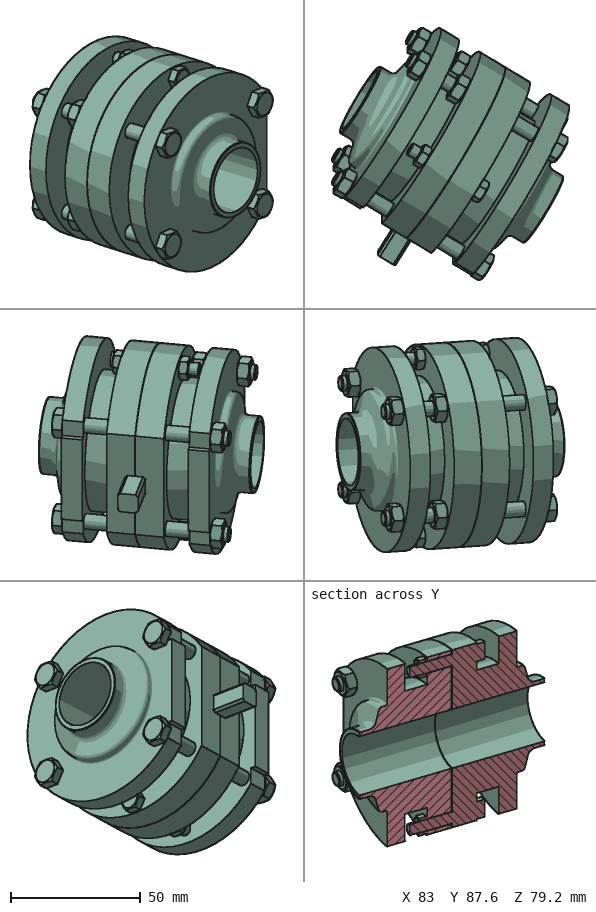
import cadquery as cq
import math


BORE_DIAMETER = 26.0
NECK_DIAMETER = 30.0
NECK_END_CHAMFER = 0.2
NECK_END_CHAMFER_LENGTH = 0.35
NECK_FILLET = 3.0
VALVE_LENGTH = 83.0
NECK_CYLINDER_LENGTH = 4.5

HUB_CONE_ANGLE = math.radians(15)
HUB_DIAMETER = 47.0
HUB_CORNER_RADIUS = 1.8
HUB_FOOT_FILLET = 0.9

FLANGE_DIAMETER = 79.2
FLAT_Y = 33.2
BODY_DIAMETER = 55.0
END_FLANGE_OUTER_X = 29.0
END_FLANGE_INNER_X = 20.85
CENTER_FLANGE_X = 11.2
JOINT_GAP = 0.2
END_FLANGE_STEP_Y = 31.1
END_FLANGE_PAD_WIDTH = 35.6

ROD_DIAMETER = 6.0
ROD_Y = 27.2
ROD_Z = 21.0
ROD_END_X = -36.0
ROD_END_CHAMFER = 0.5
ROD_HEX_WIDTH = 10.0
ROD_NUT_HEIGHT = 5.0
ROD_HEAD_HEIGHT = 4.0

BOLT_DIAMETER = 5.0
BOLT_Z = 35.0
BOLT_END_X = -19.0
BOLT_END_CHAMFER = 0.35
BOLT_HEX_WIDTH = 8.0
BOLT_NUT_HEIGHT = 3.8
BOLT_HEAD_HEIGHT = 3.5

HEX_FACE_RATIO = 0.92
HEX_CHAMFER_ANGLE = math.radians(30)

STEM_WIDTH = 8.0
STEM_CORNER_DIAMETER = 10.0
STEM_TIP_Y = 48.0
STEM_SEAT_DEPTH = 7.0

ROD_PLACES = [(y, z) for y in (-ROD_Y, ROD_Y) for z in (-ROD_Z, ROD_Z)]
LOCKNUT_PLACES = [(y, z) for y, z in ROD_PLACES if y < 0]
BOLT_PLACES = [(0, -BOLT_Z), (0, BOLT_Z)]


def disc_x(diameter, start_x, end_x, y=0, z=0):
    """Cylinder along X between two X positions."""
    return (
        cq.Workplane("YZ", origin=(start_x, y, z))
        .circle(diameter / 2)
        .extrude(end_x - start_x)
    )


def rod_x(diameter, tip_x, end_x, chamfer, y, z):
    """Cylinder along X with a chamfered tip on its -X end."""
    return disc_x(diameter, tip_x, end_x, y, z).faces("<X").chamfer(chamfer)


def trim_to_y(shape, limit_y):
    """Remove everything of the shape beyond a plane Y = limit_y."""
    size = 2 * FLANGE_DIAMETER
    waste = cq.Workplane("XY").box(size, size, size).translate((0, limit_y + size / 2, 0))
    return shape.cut(waste)


def hexagon(width, start_x, height, y, z, chamfered_ends):
    """Hexagon along X, corners toward +-Y, with turned chamfers on the chosen ends."""
    corner_diameter = width / math.cos(math.pi / 6)
    prism = (
        cq.Workplane("YZ", origin=(start_x, y, z))
        .polygon(6, corner_diameter)
        .extrude(height)
    )
    radial = (corner_diameter - HEX_FACE_RATIO * width) / 2
    axial = radial * math.tan(HEX_CHAMFER_ANGLE)
    envelope = disc_x(corner_diameter, start_x, start_x + height, y, z)
    for end in chamfered_ends:
        outward = 1 if end == ">X" else -1
        face_x = start_x + height if outward > 0 else start_x
        half = corner_diameter / 2
        ring = (
            cq.Workplane("XY", origin=(face_x, y, z))
            .moveTo(0, half - radial)
            .lineTo(0, half)
            .lineTo(-outward * axial, half)
            .close()
            .revolve(360, (0, 0, 0), (1, 0, 0))
        )
        envelope = envelope.cut(ring)
    return prism.intersect(envelope)


def neck_and_hub():
    """Turned weld end on the +X side, from the flange face to the end of the valve."""
    slope = HUB_CONE_ANGLE
    mid_fillet = (slope + math.pi / 2) / 2
    end_x = VALVE_LENGTH / 2
    neck_radius = NECK_DIAMETER / 2
    hub_radius = HUB_DIAMETER / 2
    foot_x = END_FLANGE_OUTER_X + HUB_FOOT_FILLET
    fillet_x = end_x - NECK_CYLINDER_LENGTH
    fillet_y = neck_radius + NECK_FILLET
    corner_y = hub_radius - HUB_CORNER_RADIUS

    center_rise = corner_y - fillet_y
    center_run = (NECK_FILLET + HUB_CORNER_RADIUS + center_rise * math.sin(slope)) / math.cos(slope)
    corner_x = fillet_x - center_run

    def on_neck_fillet(angle):
        return fillet_x - NECK_FILLET * math.cos(angle), fillet_y - NECK_FILLET * math.sin(angle)

    def on_corner(angle):
        return corner_x + HUB_CORNER_RADIUS * math.cos(angle), corner_y + HUB_CORNER_RADIUS * math.sin(angle)

    return (
        cq.Workplane("XY")
        .moveTo(END_FLANGE_OUTER_X, 0)
        .lineTo(end_x, 0)
        .lineTo(end_x, neck_radius - NECK_END_CHAMFER)
        .lineTo(end_x - NECK_END_CHAMFER_LENGTH, neck_radius)
        .lineTo(fillet_x, neck_radius)
        .threePointArc(on_neck_fillet(mid_fillet), on_neck_fillet(slope))
        .lineTo(*on_corner(slope))
        .threePointArc(on_corner(mid_fillet), on_corner(math.pi / 2))
        .lineTo(foot_x, hub_radius)
        .radiusArc((END_FLANGE_OUTER_X, hub_radius + HUB_FOOT_FILLET), HUB_FOOT_FILLET)
        .close()
        .revolve(360, (0, 0, 0), (1, 0, 0))
    )


def end_flange():
    """End flange on the +X side; its flat carries a raised pad."""
    thickness = END_FLANGE_OUTER_X - END_FLANGE_INNER_X
    plate = disc_x(FLANGE_DIAMETER, END_FLANGE_INNER_X, END_FLANGE_OUTER_X)
    pad = (
        cq.Workplane("XY")
        .box(thickness, FLAT_Y, END_FLANGE_PAD_WIDTH)
        .translate((END_FLANGE_INNER_X + thickness / 2, FLAT_Y / 2, 0))
    )
    return trim_to_y(plate, END_FLANGE_STEP_Y).union(pad)


def stem():
    """Square stem with turned corners, standing across the gap between the two halves."""
    base = cq.Workplane("XZ", origin=(0, FLAT_Y - STEM_SEAT_DEPTH, 0))
    length = STEM_TIP_Y - FLAT_Y + STEM_SEAT_DEPTH
    square_bar = base.rect(STEM_WIDTH, STEM_WIDTH).extrude(-length)
    round_bar = base.circle(STEM_CORNER_DIAMETER / 2).extrude(-length)
    return square_bar.intersect(round_bar)


def half_shell():
    """Turned and flattened half on the +X side, bored through, with the stem seat."""
    center_flange = trim_to_y(disc_x(FLANGE_DIAMETER, JOINT_GAP / 2, CENTER_FLANGE_X), FLAT_Y)
    body = disc_x(BODY_DIAMETER, JOINT_GAP / 2, END_FLANGE_INNER_X)
    shell = center_flange.union(body).union(end_flange()).union(neck_and_hub())
    return shell.cut(disc_x(BORE_DIAMETER, 0, VALVE_LENGTH)).cut(stem())


def rods_and_bolts():
    """Shanks of all the tie rods and short bolts, from their tips to their heads."""
    rods = [rod_x(ROD_DIAMETER, ROD_END_X, END_FLANGE_OUTER_X, ROD_END_CHAMFER, y, z) for y, z in ROD_PLACES]
    bolts = [rod_x(BOLT_DIAMETER, BOLT_END_X, CENTER_FLANGE_X, BOLT_END_CHAMFER, y, z) for y, z in BOLT_PLACES]
    return rods + bolts


def right_half():
    """Half on the +X side with the rods, the bolts and their heads."""
    half = half_shell()
    for shank in rods_and_bolts():
        half = half.union(shank)
    for y, z in ROD_PLACES:
        half = half.union(hexagon(ROD_HEX_WIDTH, END_FLANGE_OUTER_X, ROD_HEAD_HEIGHT, y, z, [">X"]))
    for y, z in BOLT_PLACES:
        half = half.union(hexagon(BOLT_HEX_WIDTH, CENTER_FLANGE_X, BOLT_HEAD_HEIGHT, y, z, [">X"]))
    return half


def left_half():
    """Half on the -X side with the nuts, drilled for the rods and bolts."""
    half = half_shell().mirror("YZ")
    both_ends = ["<X", ">X"]
    nut_rows = [
        (ROD_PLACES, ROD_HEX_WIDTH, -END_FLANGE_OUTER_X, ROD_NUT_HEIGHT),
        (LOCKNUT_PLACES, ROD_HEX_WIDTH, -CENTER_FLANGE_X, ROD_NUT_HEIGHT),
        (BOLT_PLACES, BOLT_HEX_WIDTH, -CENTER_FLANGE_X, BOLT_NUT_HEIGHT),
    ]
    for places, width, seat_x, height in nut_rows:
        for y, z in places:
            half = half.union(hexagon(width, seat_x - height, height, y, z, both_ends))
    for shank in rods_and_bolts():
        half = half.cut(shank)
    return half


valve_stem = stem()
housing_right = right_half()
housing_left = left_half()
result = cq.Compound.makeCompound([housing_left.val(), housing_right.val(), valve_stem.val()])